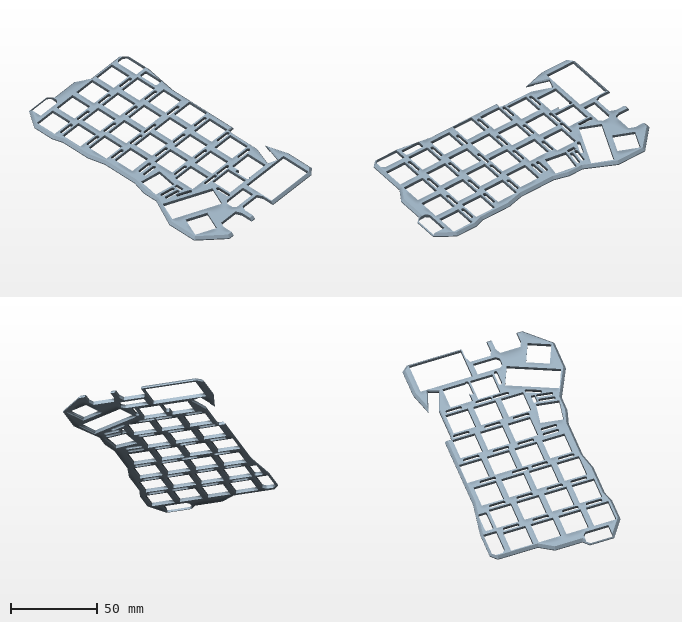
import cadquery as cq

thickness = 2.2
rim_chamfer = 1.49

notch_bevel = 0.6
notch_wall_angle = -18.1
notch_undercut_length = 9.7
undercut_reach = 0.5
undercut_height = 0.8


key_size = 13.8
column_pitch = 18.0
row_pitch = 17.1
first_column_x = -60.8
slot_length = 10.0
slot_width = 2.2
outer_thumb_angle = -24
inner_thumb_angle = -9.5
double_key_length = 31.7

bay_length = 16.0
bay_width = 8.0
bay_corner = 1.9
short_bay_radius = 1.0

opening_half_width = 7.8
opening_wall_half_width = 6.3
opening_neck_x = 71.0
opening_wall_x = 67.4
opening_overrun = 1.5

columns = [(23.4, 4), (25.6, 4), (28.3, 4), (30.6, 4), (28.1, 3), (25.7, 3), (21.0, 2)]

gap_slots = [
    [24.5, 6.1, -12.2, -26.8],
    [26.4, 9.4, -9.3, -24.0],
    [25.6, 5.5, -6.6, -23.0],
    [29.2, 10.8, -4.5],
    [28.7, 9.4],
    [26.7],
]

single_slots = [
    (38.8, 8.2, 0),
    (38.8, -2.5, 0),
    (20.7, -8.5, 0),
    (3.8, -20.5, 0),
    (7.5, -20.7, 0),
    (50.0, 13.0, 90),
    (51.0, -5.2, 90),
    (27.0, -26.7, inner_thumb_angle),
    (30.5, -26.5, inner_thumb_angle),
    (35.0, -21.2, outer_thumb_angle),
]

half_length = 78.5
half_depth = 90.0 / 2
top_edge_y = 39.2

outline = [
    (-69.7, top_edge_y),
    (-66.0, 42.9),
    (-49.6, 42.9),
    (-27.8, top_edge_y),
    (37.2, top_edge_y),
    (57.1, half_depth),
    (75.2, half_depth),
    (half_length, 41.1),
    (half_length, -30.3),
    (64.2, -half_depth),
    (44.9, -half_depth),
    (26.0, -35.5),
    (16.3, -35.5),
    (6.9, -32.8),
    (-16.6, -32.8),
    (-27.3, -35.5),
    (-46.8, -35.5),
    (-53.2, -37.5),
    (-67.2, -37.5),
    (-half_length, -29.5),
    (-half_length, -14.5),
    (-75.0, -11.1),
    (-75.0, 5.8),
    (-69.7, 14.5),
]

notch = [
    (19.3, 35.3),
    (22.5, 34.9),
    (41.5, 34.9),
    (54.2, 30.1),
    (56.5, 36.3),
    (33.0, 44.0),
    (19.3, 44.0),
]


def through(sketch):
    """Prism through the full thickness of the plate."""
    return sketch.extrude(thickness)


def rectangle(x, y, width, height, angle=0, depth=thickness):
    """Prism rising from the underside; angle turns it about its own centre."""
    return cq.Workplane().center(x, y).transformed(rotate=(0, 0, angle)).rect(width, height).extrude(depth)


def key(x, y, angle=0):
    return rectangle(x, y, key_size, key_size, angle)


def slot(x, y, angle=0):
    return through(cq.Workplane().center(x, y).slot2D(slot_length, slot_width, angle + 90))


def bay(x, y, width, height, cut_corners):
    """Rectangular opening with the vertical edges picked by cut_corners cut off."""
    return rectangle(x, y, width, height).faces(cut_corners).edges("|Z").chamfer(bay_corner)


def side_opening(y):
    """Opening in the right edge whose inner end narrows to a flat wall."""
    points = [
        (half_length + opening_overrun, y + opening_half_width),
        (opening_neck_x, y + opening_half_width),
        (opening_wall_x, y + opening_wall_half_width),
        (opening_wall_x, y - opening_wall_half_width),
        (opening_neck_x, y - opening_half_width),
        (half_length + opening_overrun, y - opening_half_width),
    ]
    return through(cq.Workplane().polyline(points).close())


plate = through(cq.Workplane().polyline(outline).close()).faces(">Z").chamfer(rim_chamfer)

flare_start = thickness - notch_bevel
plate = plate.cut(through(cq.Workplane().polyline(notch).close()))
plate = plate.cut(
    cq.Workplane(origin=(0, 0, flare_start)).polyline(notch).close().extrude(notch_bevel, taper=-45)
)

cutters = []
for index, (top_y, count) in enumerate(columns):
    for row in range(count):
        cutters.append(key(first_column_x + index * column_pitch, top_y - row * row_pitch))
for index, slot_ys in enumerate(gap_slots):
    for slot_y in slot_ys:
        cutters.append(slot(first_column_x + (index + 0.5) * column_pitch, slot_y))
for x, y, angle in single_slots:
    cutters.append(slot(x, y, angle))

cutters.append(key(17.9, -25.1, inner_thumb_angle))

for x, y, length in [(44.5, -24.5, double_key_length), (59.3, -33.5, key_size)]:
    cutters.append(rectangle(x, y, key_size, length, outer_thumb_angle))
    undercut_length = length + 2 * undercut_reach
    cutters.append(rectangle(x, y, key_size, undercut_length, outer_thumb_angle, undercut_height))

cutters.append(
    rectangle(51.8, 37.8, notch_undercut_length, 2 * undercut_reach, notch_wall_angle, undercut_height)
)

cutters.append(rectangle(67.0, 24.3, 19.6, 32.2))
cutters.append(rectangle(29.7, -19.8, 5.3, 2.4))

cutters.append(bay(-59.5, 37.5, bay_length, bay_width, "<X"))
cutters.append(bay(61.4, -3.0, bay_width, bay_length, "<Y"))
cutters.append(bay(-74.0, -21.0, bay_width, bay_length, ">Y"))
cutters.append(rectangle(-43.2, 36.9, 12.7, 5.2).edges("|Z").fillet(short_bay_radius))

cutters.append(side_opening(-0.3))
cutters.append(side_opening(-18.8))

result = plate
for cutter in cutters:
    result = result.cut(cutter)